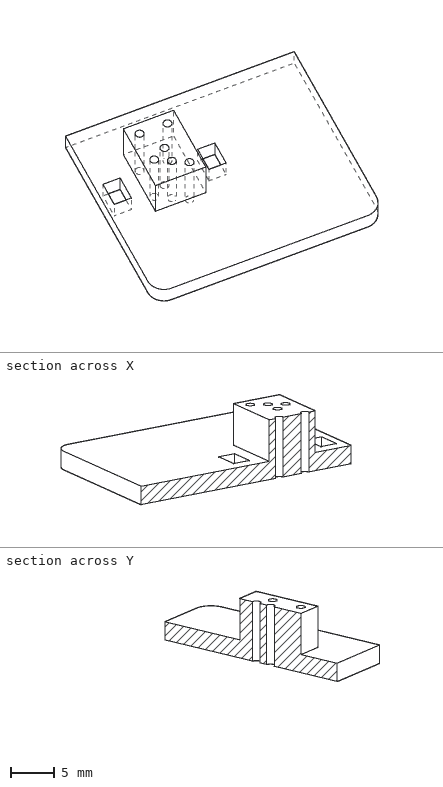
import cadquery as cq

plate_width = 24.75
plate_length = 28.93
plate_thickness = 2.25
corner_radius = 2.05

overall_height = 7.25
block_width = 8.88
block_length = 6.36
block_height = overall_height - plate_thickness
block_center = (9.6, 8.13)

pin_diameter = 1.0
column_pitch = 1.0
row_pitch = 1.76
pin_grid_places = [
    (-3, 1),
    (3, 1),
    (0, 0),
    (2, 0),
    (-3, -1),
    (1, -1),
]

window_width = 3.12
window_length = 2.17
window_spacing = 11.98


def make_plate():
    """Flat plate with the two corners on the +X side rounded."""
    plate = cq.Workplane("XY").box(plate_width, plate_length, plate_thickness, centered=False)
    return plate.edges("|Z and >X").fillet(corner_radius)


def make_block():
    """Plain rectangular block resting on top of the plate."""
    plane = cq.Workplane("XY", origin=(*block_center, plate_thickness))
    return plane.rect(block_width, block_length).extrude(block_height)


def make_pin_holes():
    """Cylinders over the full height of the part, one per pin."""
    points = [(column * column_pitch, row * row_pitch) for column, row in pin_grid_places]
    plane = cq.Workplane("XY", origin=(*block_center, 0))
    return plane.pushPoints(points).circle(pin_diameter / 2).extrude(overall_height)


def make_windows():
    """Two rectangular cutters through the plate, in line with the block center."""
    plane = cq.Workplane("XY", origin=(*block_center, 0))
    places = plane.rarray(0.3, window_spacing, 1, 2)
    return places.rect(window_width, window_length).extrude(plate_thickness)


result = make_plate().union(make_block()).cut(make_pin_holes()).cut(make_windows())